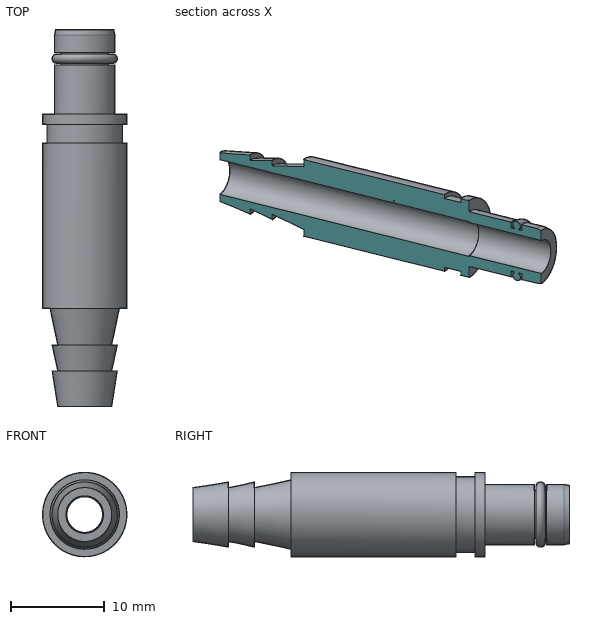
import cadquery as cq
import math

total_length = 40.15
body_diameter = 9.0

tail_bore_diameter = 4.0
spigot_bore_diameter = 3.8
bore_cone_angle = 120.0

lead_in_length = 0.6
seal_groove_start = 2.45
seal_groove_width = 1.3
collar_start = 9.0
collar_width = 1.1
neck_width = 2.0
body_length = 17.6

spigot_diameter = 6.45
lead_in_diameter = 6.2
neck_diameter = 8.1
seal_groove_diameter = 5.1

seal_diameter = 6.95
seal_cord_diameter = 1.0

tail_base_diameter = 7.4
barb_crest_diameter = 6.95
barb_root_diameter = 5.75
tail_cone_length = 3.9
middle_barb_length = 2.75

spigot_end = total_length / 2
collar_end = collar_start + collar_width
body_start = collar_end + neck_width
body_end = body_start + body_length
middle_barb_start = body_end + tail_cone_length
end_barb_start = middle_barb_start + middle_barb_length


def turned(start, end, start_diameter, end_diameter=None):
    """Solid cylinder or cone between two distances from the spigot end face."""
    start_radius = start_diameter / 2
    end_radius = (end_diameter or start_diameter) / 2
    start_y = spigot_end - start
    end_y = spigot_end - end
    profile = [(0, start_y), (start_radius, start_y), (end_radius, end_y), (0, end_y)]
    return cq.Workplane("XY").polyline(profile).close().revolve(360, (0, 0), (0, 1))


def make_spigot():
    groove_end = seal_groove_start + seal_groove_width
    lead_in = turned(0, lead_in_length, lead_in_diameter, spigot_diameter)
    land = turned(lead_in_length, seal_groove_start, spigot_diameter)
    groove_floor = turned(seal_groove_start, groove_end, seal_groove_diameter)
    shank = turned(groove_end, collar_start, spigot_diameter)
    return lead_in.union(land).union(groove_floor).union(shank)


def make_seal():
    seal_y = spigot_end - seal_groove_start - seal_groove_width / 2
    cord_centre_radius = (seal_diameter - seal_cord_diameter) / 2
    cord = cq.Workplane("XY").center(-cord_centre_radius, seal_y).circle(seal_cord_diameter / 2)
    return cord.revolve(360, (cord_centre_radius, 0), (cord_centre_radius, 1))


def make_body():
    collar = turned(collar_start, collar_end, body_diameter)
    neck = turned(collar_end, body_start, neck_diameter)
    sleeve = turned(body_start, body_end, body_diameter)
    return collar.union(neck).union(sleeve)


def make_hose_tail():
    cone = turned(body_end, middle_barb_start, tail_base_diameter, barb_root_diameter)
    middle_barb = turned(middle_barb_start, end_barb_start, barb_crest_diameter, barb_root_diameter)
    end_barb = turned(end_barb_start, total_length, barb_crest_diameter, barb_root_diameter)
    return cone.union(middle_barb).union(end_barb)


def make_bore():
    radius_step = (tail_bore_diameter - spigot_bore_diameter) / 2
    cone_length = radius_step / math.tan(math.radians(bore_cone_angle / 2))
    cone_end = collar_start + cone_length
    spigot_bore = turned(0, collar_start, spigot_bore_diameter)
    cone = turned(collar_start, cone_end, spigot_bore_diameter, tail_bore_diameter)
    tail_bore = turned(cone_end, total_length, tail_bore_diameter)
    return spigot_bore.union(cone).union(tail_bore)


outside = make_spigot().union(make_seal()).union(make_body()).union(make_hose_tail())
result = outside.cut(make_bore())